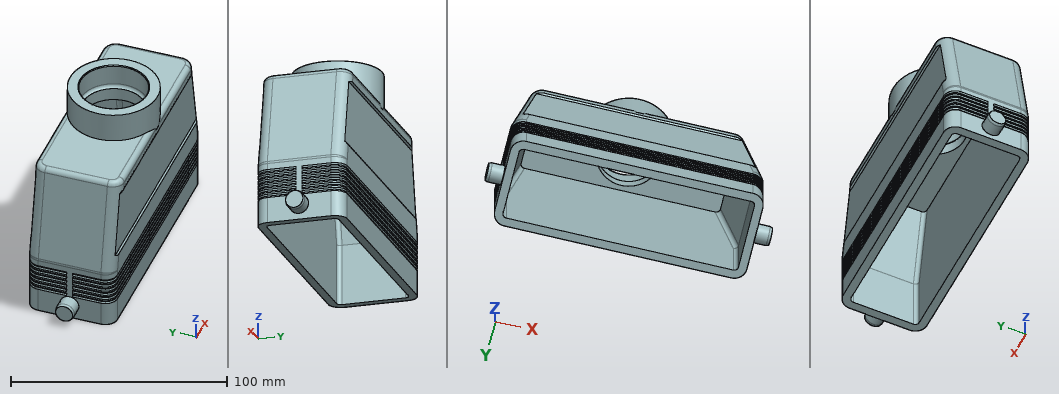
import cadquery as cq
import math

length = 120.2
width = 42.9
shell_height = 76.1
wall = 4.0
corner_radius = 6.1
top_edge_radius = 2.7
taper_start = 29.5
taper_inset = 9.3
taper_blend_radius = 5.4
taper_angle = math.atan2(taper_inset, shell_height - taper_start)

total_height = 91.0
collar_diameter = 43.0
collar_overlap = 3.4
bore_radius = 15.0
counterbore_radius = 16.2
counterbore_depth = 10.7
ledge_radius = 2.0
mouth_chamfer = 0.4

recess_depth = 0.8
recess_bottom = 37.1
recess_top = 70.0

groove_count = 6
groove_pitch = 2.4
groove_width = 1.6
groove_depth = 0.4
lowest_groove = 12.3
groove_gap = 3.0

total_length = 135.0
pin_diameter = 9.2
pin_height = 7.4
pin_chamfer_length = 1.4
pin_chamfer_depth = 0.4


def tapered_block(half_length, full_width, height, break_height):
    """Sharp-edged block with upright lower ends that lean inward above break_height."""
    top_half = half_length - (height - break_height) * math.tan(taper_angle)
    return (
        cq.Workplane("XZ")
        .moveTo(-half_length, 0)
        .lineTo(half_length, 0)
        .lineTo(half_length, break_height)
        .lineTo(top_half, height)
        .lineTo(-top_half, height)
        .lineTo(-half_length, break_height)
        .close()
        .extrude(full_width / 2, both=True)
    )


def outer_body():
    body = tapered_block(length / 2, width, shell_height, taper_start)
    for end in (-length / 2, length / 2):
        bend = cq.NearestToPointSelector((end, 0, taper_start))
        body = body.edges("|Y").edges(bend).fillet(taper_blend_radius)
    body = body.edges("not (|X or |Y)").fillet(corner_radius)
    return body.faces(">Z").edges().fillet(top_edge_radius)


def cavity():
    """Room inside the hood, open at the bottom, one wall thickness inside the outer body."""
    break_height = taper_start - wall * math.tan(taper_angle / 2)
    room = tapered_block(length / 2 - wall, width - 2 * wall, shell_height - wall, break_height)
    return room.edges("not (|X or |Y)").fillet(corner_radius - wall)


def side_recess(side):
    """Shallow channel with 45-degree flanks along one long side; side is -1 or 1."""
    face = side * width / 2
    floor = side * (width / 2 - recess_depth)
    return (
        cq.Workplane("YZ")
        .moveTo(face, recess_bottom)
        .lineTo(floor, recess_bottom + recess_depth)
        .lineTo(floor, recess_top - recess_depth)
        .lineTo(face, recess_top)
        .close()
        .extrude(length / 2, both=True)
    )


def skirt_outline(inset):
    """Skirt outline moved inward by inset."""
    outline = cq.Sketch().rect(length - 2 * inset, width - 2 * inset)
    return outline.vertices().fillet(corner_radius - inset)


def skirt_slice(inset_bottom, inset_top, bottom, height):
    """Slice of the skirt whose outline changes evenly from one inset to another."""
    upper = skirt_outline(inset_top).moved(cq.Location(cq.Vector(0, 0, height)))
    slab = cq.Workplane("XY", origin=(0, 0, bottom)).placeSketch(skirt_outline(inset_bottom), upper)
    return slab.loft(ruled=True)


def groove(bottom):
    """V groove running round the skirt, interrupted at the middle of each end."""
    half = groove_width / 2
    ring = cq.Workplane("XY", origin=(0, 0, bottom)).rect(length + wall, width + wall).extrude(groove_width)
    ring = ring.cut(skirt_slice(0, groove_depth, bottom, half))
    ring = ring.cut(skirt_slice(groove_depth, 0, bottom + half, half))
    strip = cq.Workplane("XY", origin=(0, 0, bottom)).rect(total_length, groove_gap).extrude(groove_width)
    return ring.cut(strip)


def collar():
    bottom = shell_height - collar_overlap
    return cq.Workplane("XY", origin=(0, 0, bottom)).circle(collar_diameter / 2).extrude(total_height - bottom)


def collar_bore():
    """Round stepped opening from the collar mouth into the cavity."""
    bottom = shell_height - 2 * wall
    ledge_start = total_height - counterbore_depth
    ledge_width = counterbore_radius - bore_radius
    ledge_sweep = math.acos(1 - ledge_width / ledge_radius)

    def ledge_point(angle):
        inward = ledge_radius * (1 - math.cos(angle))
        return (counterbore_radius - inward, ledge_start - ledge_radius * math.sin(angle))

    return (
        cq.Workplane("XZ")
        .moveTo(0, bottom)
        .lineTo(bore_radius, bottom)
        .lineTo(*ledge_point(ledge_sweep))
        .threePointArc(ledge_point(ledge_sweep / 2), ledge_point(0))
        .lineTo(counterbore_radius, total_height - mouth_chamfer)
        .lineTo(counterbore_radius + mouth_chamfer, total_height)
        .lineTo(0, total_height)
        .close()
        .revolve(360, (0, 0), (0, 1))
    )


def pin(side):
    """Locking pin standing out of one end; side is -1 or 1."""
    radius = pin_diameter / 2
    root = side * (length / 2 - wall / 2)
    tip = side * total_length / 2
    axis_start = (root, pin_height)
    return (
        cq.Workplane("XZ")
        .moveTo(*axis_start)
        .lineTo(root, pin_height + radius)
        .lineTo(tip - side * pin_chamfer_length, pin_height + radius)
        .lineTo(tip, pin_height + radius - pin_chamfer_depth)
        .lineTo(tip, pin_height)
        .close()
        .revolve(360, axis_start, (tip, pin_height))
    )


result = outer_body()
for side in (-1, 1):
    result = result.cut(side_recess(side))
for index in range(groove_count):
    result = result.cut(groove(lowest_groove + index * groove_pitch))
result = result.union(collar()).cut(cavity()).cut(collar_bore())
for side in (-1, 1):
    result = result.union(pin(side))